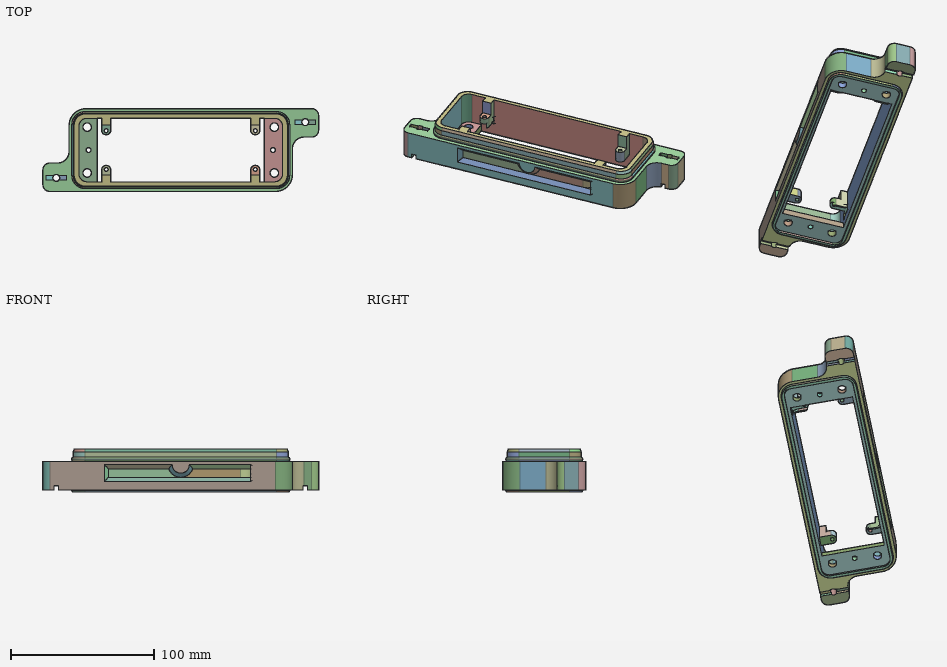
import cadquery as cq
import math

total_length = 192.5
body_length = 156.0
body_width = 58.0
body_corner = 12.0
body_bottom = 1.5
body_top = 21.5
total_height = 30.2

ear_width = 20.0
ear_corner = 5.0
ear_inner_fillet = 7.9
ear_hole_x = 86.8
ear_hole_y = 19.5
ear_hole_diameter = 4.6
ear_slot_length = 14.0
ear_slot_width = 3.0
ear_slot_depth = 2.9

rim_length = 150.2
rim_width = 51.8
rim_corner = 8.3
rim_bevel_height = 2.1
rim_bevel_inset = 0.8
bead_overhang = 1.0
bead_top = 24.5
bead_rounding = 1.2
foot_inset = 0.5
foot_edge = 0.2

inner_length = 142.0
inner_width = 44.3
inner_corner = 5.5
floor_top = 7.1
floor_gap = 116.5
recess_depth = 2.0
recess_inset = 1.5
floor_hole_x = 65.3
floor_hole_y = 16.0
floor_hole_diameter = 5.8
centre_hole_x = 64.3
centre_hole_diameter = 3.3

post_x = 52.0
post_width = 6.5
post_depth = 4.6
post_bottom = 12.7
lug_top = 20.6
lug_reach = 11.5
lug_hole_reach = 8.7
lug_hole_diameter = 2.5

channel_left = -53.3
channel_mouth_right = 48.7
channel_bottom = 7.5
channel_top = 19.2
channel_depth = 2.9
saddle_radius = 6.0
exit_start = 41.5
exit_radius = 8.0
exit_right = 58.1


def rounded_plate(length, width, corner, bottom, top):
    """Plate centred on Z with rounded vertical corners."""
    plate = cq.Workplane("XY").box(length, width, top - bottom, centered=(True, True, False))
    return plate.edges("|Z").fillet(corner).translate((0, 0, bottom))


def round_upright_edges(solid, points, radius):
    """Fillet the vertical edges of the body that stand at the given corner points."""
    for x, y in points:
        edge = cq.selectors.NearestToPointSelector((x, y, (body_bottom + body_top) / 2))
        solid = solid.edges("|Z").edges(edge).fillet(radius)
    return solid


def make_body():
    """S-shaped plate: a rounded rectangle with an ear at two opposite corners."""
    half_total = total_length / 2
    half_length = body_length / 2
    half_width = body_width / 2
    ear_edge = half_width - ear_width
    outline = [
        (-half_total, -half_width),
        (half_length, -half_width),
        (half_length, ear_edge),
        (half_total, ear_edge),
        (half_total, half_width),
        (-half_length, half_width),
        (-half_length, -ear_edge),
        (-half_total, -ear_edge),
    ]
    body = cq.Workplane("XY").workplane(offset=body_bottom).polyline(outline).close()
    body = body.extrude(body_top - body_bottom)

    body = round_upright_edges(body, [outline[1], outline[5]], body_corner)
    body = round_upright_edges(body, [outline[2], outline[6]], ear_inner_fillet)
    return round_upright_edges(body, [outline[0], outline[3], outline[4], outline[7]], ear_corner)


def make_rim():
    """Upper wall whose outer top edge leans inwards."""
    bevel_start = total_height - rim_bevel_height
    rim = rounded_plate(rim_length, rim_width, rim_corner, body_bottom, bevel_start)
    bevel_angle = math.degrees(math.atan(rim_bevel_inset / rim_bevel_height))
    bevel = rim.faces(">Z").wires().toPending().workplane()
    return bevel.extrude(rim_bevel_height, taper=bevel_angle)


def make_bead():
    """Rounded sealing bead around the foot of the rim."""
    bead = rounded_plate(
        rim_length + 2 * bead_overhang,
        rim_width + 2 * bead_overhang,
        rim_corner + bead_overhang,
        body_top,
        bead_top,
    )
    return bead.faces(">Z or <Z").edges().fillet(bead_rounding)


def make_foot():
    """Low plate under the body, narrowing downwards."""
    foot = rounded_plate(
        rim_length + 2 * bead_overhang,
        rim_width + 2 * bead_overhang,
        rim_corner + bead_overhang,
        0,
        body_bottom,
    )
    return foot.faces("<Z").edges().chamfer(body_bottom - foot_edge, foot_inset)


def make_inside():
    """Opening that leaves a floor at each end, with a shallow recess all over the underside."""
    upper = rounded_plate(inner_length, inner_width, inner_corner, floor_top, total_height)
    lower = cq.Workplane("XY").box(floor_gap, inner_width, total_height, centered=(True, True, False))
    recess = rounded_plate(
        rim_length - 2 * recess_inset, rim_width - 2 * recess_inset, inner_corner, 0, recess_depth
    )
    return upper.union(lower).union(recess)


def floor_holes():
    big = cq.Workplane("XY").rect(2 * floor_hole_x, 2 * floor_hole_y, forConstruction=True)
    big = big.vertices().circle(floor_hole_diameter / 2).extrude(total_height)
    small = cq.Workplane("XY").pushPoints([(-centre_hole_x, 0), (centre_hole_x, 0)])
    return big.union(small.circle(centre_hole_diameter / 2).extrude(total_height))


def make_post():
    """Post with its screw lug, at +X on the +Y wall."""
    wall = inner_width / 2
    post = cq.Workplane("XY").box(
        post_width, post_depth, total_height - post_bottom, centered=(True, False, False)
    )
    post = post.translate((post_x, wall - post_depth, post_bottom))
    tip_radius = post_width / 2
    lug = (
        cq.Workplane("XY", origin=(post_x, wall, post_bottom))
        .moveTo(-tip_radius, 0)
        .lineTo(-tip_radius, tip_radius - lug_reach)
        .threePointArc((0, -lug_reach), (tip_radius, tip_radius - lug_reach))
        .lineTo(tip_radius, 0)
        .close()
        .extrude(lug_top - post_bottom)
    )
    hole = cq.Workplane("XY").center(post_x, wall - lug_hole_reach)
    return post.union(lug).cut(hole.circle(lug_hole_diameter / 2).extrude(total_height))


def ear_cuts():
    """Screw hole, cross slot and underside groove of the ear at -X."""
    middle = cq.Workplane("XY").center(-ear_hole_x, -ear_hole_y)
    hole = middle.circle(ear_hole_diameter / 2).extrude(total_height)
    slot = middle.workplane(offset=body_top - ear_slot_depth)
    slot = slot.rect(ear_slot_length, ear_slot_width).extrude(ear_slot_depth)
    groove = middle.workplane(offset=body_bottom)
    groove = groove.rect(ear_slot_width, 2 * ear_width).extrude(ear_slot_depth)
    return hole.union(slot).union(groove)


def make_channel():
    """Cable channel with 45 degree sides, a half-round saddle and an exit through the wall."""
    face = -body_width / 2
    back = face + channel_depth
    wall = -inner_width / 2
    middle_z = (channel_bottom + channel_top) / 2
    half_height = (channel_top - channel_bottom) / 2
    floor_half = half_height - channel_depth

    section = [
        (face, middle_z - half_height),
        (back, middle_z - floor_half),
        (back, middle_z + floor_half),
        (face, middle_z + half_height),
    ]
    trough = cq.Workplane("YZ").workplane(offset=channel_left).polyline(section).close()
    trough = trough.extrude(exit_right - channel_left)
    end_slope = [
        (channel_left, face),
        (channel_left + channel_depth, back),
        (channel_left, back),
    ]
    trough = trough.cut(cq.Workplane("XY").polyline(end_slope).close().extrude(total_height))

    saddle = cq.Workplane("XZ", origin=(0, face, channel_top)).circle(saddle_radius)
    saddle = saddle.workplane(offset=-channel_depth).circle(saddle_radius + channel_depth).loft()
    trough = trough.cut(saddle)

    exit_left = exit_start + exit_radius
    run = exit_radius * math.sin(math.radians(45))
    rise = exit_radius - run
    exit_end = wall + lug_reach
    passage = (
        cq.Workplane("XY")
        .workplane(offset=middle_z - floor_half)
        .moveTo(exit_start, back)
        .threePointArc((exit_start + run, back + rise), (exit_left, back + exit_radius))
        .lineTo(exit_left, exit_end)
        .lineTo(exit_right, exit_end)
        .lineTo(exit_right, back)
        .close()
        .extrude(2 * floor_half)
    )
    channel = trough.union(passage)

    end_wall = [(channel_mouth_right, face), (exit_right, wall), (exit_right, face)]
    return channel.cut(cq.Workplane("XY").polyline(end_wall).close().extrude(total_height))


def with_opposite(solid):
    """The solid together with its copy turned half a turn about Z."""
    return solid.union(solid.rotate((0, 0, 0), (0, 0, 1), 180))


shell = make_body().union(make_rim()).union(make_bead()).union(make_foot())
shell = shell.cut(make_inside()).cut(floor_holes())

post = make_post()
for mirrored in (post, post.mirror("YZ")):
    shell = shell.union(mirrored).union(mirrored.mirror("XZ"))

shell = shell.cut(with_opposite(ear_cuts()))
result = shell.cut(with_opposite(make_channel()))